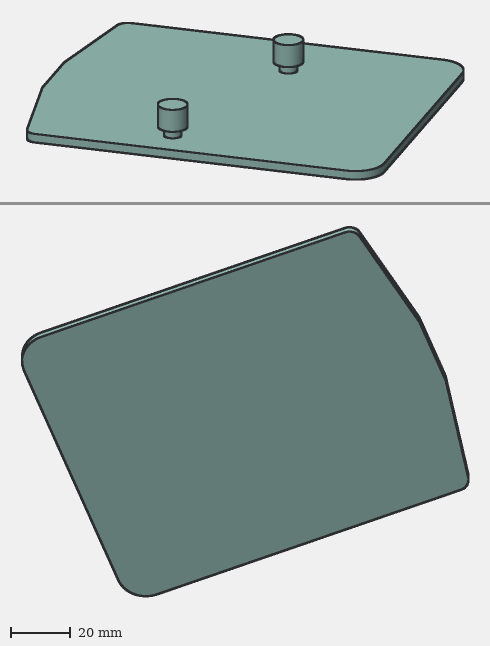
import cadquery as cq
import math

length = 130.0
width = 106.0
plate_thickness = 3.1
nose_flat = 24.0
nose_angle = 10.0
nose_corner_radius = 4.0
rear_corner_radius = 10.0

neck_diameter = 6.0
neck_height = 3.1
head_diameter = 10.0
head_height = 7.9
pin_positions = [(8.7, 28.0), (-10.3, -39.9)]


def make_plate():
    """Flat plate, symmetric about the X axis, with a tapered nose at -X."""
    half_length = length / 2
    half_width = width / 2
    half_flat = nose_flat / 2
    sweep = (half_width - half_flat) * math.tan(math.radians(nose_angle))
    shoulder_x = -half_length + sweep
    outline = [
        (-half_length, -half_flat),
        (shoulder_x, -half_width),
        (half_length, -half_width),
        (half_length, half_width),
        (shoulder_x, half_width),
        (-half_length, half_flat),
    ]
    plate = cq.Workplane("XY").polyline(outline).close().extrude(plate_thickness)
    plate = plate.edges("|Z and >X").fillet(rear_corner_radius)
    for side in ("<Y", ">Y"):
        plate = plate.faces(side).edges("|Z and <X").fillet(nose_corner_radius)
    return plate


def make_pins():
    """Pins with a narrow neck on the plate and a wider head on top."""
    necks = (
        cq.Workplane("XY", origin=(0, 0, plate_thickness))
        .pushPoints(pin_positions)
        .circle(neck_diameter / 2)
        .extrude(neck_height)
    )
    heads = (
        cq.Workplane("XY", origin=(0, 0, plate_thickness + neck_height))
        .pushPoints(pin_positions)
        .circle(head_diameter / 2)
        .extrude(head_height)
    )
    return necks.union(heads)


result = make_plate().union(make_pins())